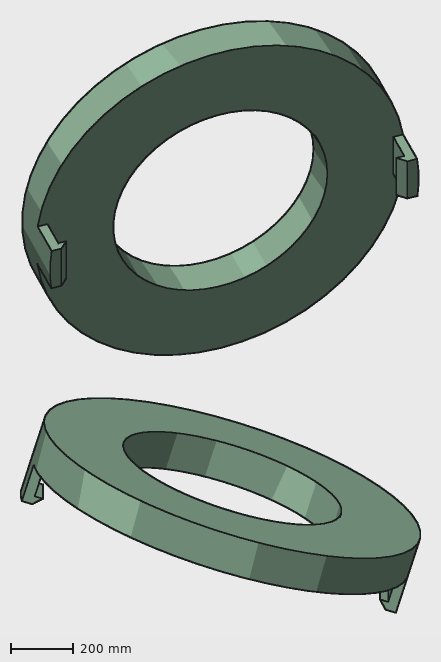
import cadquery as cq

outer_diameter = 1270.0
bore_diameter = 737.0
ring_thickness = 127.0

total_depth = 254.0
hook_bottom = -75.0
hook_top = 85.0
arm_thickness = 40.0
barb_size = 28.0

outer_radius = outer_diameter / 2
arm_inner_y = outer_radius - arm_thickness
barb_start_x = total_depth - barb_size


def make_ring():
    return (
        cq.Workplane("YZ")
        .circle(outer_radius)
        .circle(bore_diameter / 2)
        .extrude(ring_thickness)
    )


def make_hook():
    """Hook at +Y: a flat inner side with a barb, and an outer side following the rim."""
    root_x = ring_thickness / 2
    profile = [
        (root_x, outer_radius),
        (total_depth, outer_radius),
        (total_depth, arm_inner_y),
        (barb_start_x, arm_inner_y - barb_size),
        (barb_start_x, arm_inner_y),
        (root_x, arm_inner_y),
    ]
    blank = (
        cq.Workplane("XY", origin=(0, 0, hook_bottom))
        .polyline(profile)
        .close()
        .extrude(hook_top - hook_bottom)
    )
    rim_envelope = cq.Workplane("YZ").circle(outer_radius).extrude(total_depth)
    return blank.intersect(rim_envelope)


hook = make_hook()
result = make_ring().union(hook).union(hook.mirror("XZ"))